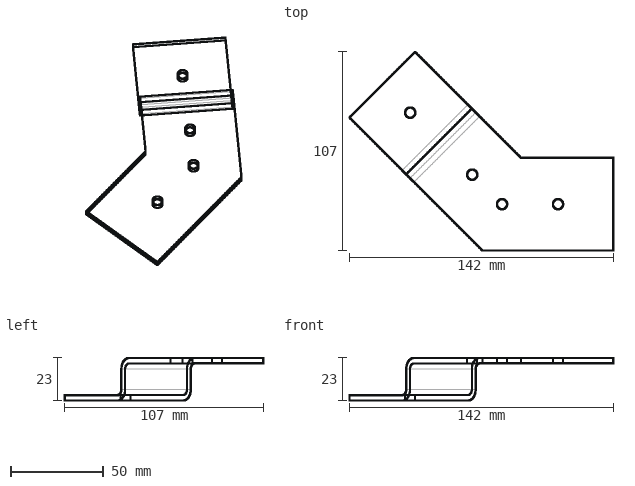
import cadquery as cq
import math

overall_x = 142.0
overall_z = 23.0
width = 50.0
thickness = 3.0
inner_radius = 3.0
straight_length = 70.4
joggle_start = 52.1
hole_diameter = 5.4
arm_angle = 135.0

straight_hole_distances = (10.5, 40.6)
angled_upper_hole_distance = 32.8
angled_lower_hole_distance = 79.9

outer_radius = inner_radius + thickness
angled_length = (overall_x - straight_length) / abs(math.cos(math.radians(arm_angle)))
elbow_setback = width * math.tan(math.radians((180 - arm_angle) / 2))
lower_flat_start = joggle_start + outer_radius + inner_radius
upper_underside = overall_z - thickness
wall_near = joggle_start + inner_radius
wall_far = joggle_start + outer_radius
diagonal = math.sqrt(0.5)


def arc_point(center_s, center_z, radius, side, up):
    """Middle of a quarter arc on the given side of its center."""
    return (center_s + side * radius * diagonal, center_z + up * radius * diagonal)


def make_straight_arm():
    """Flat arm along X, mitred at the elbow."""
    outline = [(0, 0), (straight_length, 0), (straight_length, width), (elbow_setback, width)]
    return cq.Workplane("XY").workplane(offset=upper_underside).polyline(outline).close().extrude(thickness)


def make_angled_arm():
    """Joggled strip along +X from the elbow, swung round to the arm angle."""
    upper_center = (joggle_start, overall_z - outer_radius)
    lower_center = (lower_flat_start, outer_radius)
    strip = (
        cq.Workplane("XZ")
        .moveTo(0, overall_z)
        .lineTo(joggle_start, overall_z)
        .threePointArc(arc_point(*upper_center, outer_radius, 1, 1), (wall_far, upper_center[1]))
        .lineTo(wall_far, lower_center[1])
        .threePointArc(arc_point(*lower_center, inner_radius, -1, -1), (lower_flat_start, thickness))
        .lineTo(angled_length, thickness)
        .lineTo(angled_length, 0)
        .lineTo(lower_flat_start, 0)
        .threePointArc(arc_point(*lower_center, outer_radius, -1, -1), (wall_near, lower_center[1]))
        .lineTo(wall_near, upper_center[1])
        .threePointArc(arc_point(*upper_center, inner_radius, 1, 1), (joggle_start, upper_underside))
        .lineTo(0, upper_underside)
        .close()
        .extrude(width)
    )
    mitre = cq.Workplane("XY").polyline([(0, 0), (elbow_setback, -width), (0, -width)]).close().extrude(overall_z)
    return strip.cut(mitre).rotate((0, 0, 0), (0, 0, 1), arm_angle)


def hole_centers():
    """Hole positions on the center lines of the two arms."""
    centers = [(distance, width / 2) for distance in straight_hole_distances]
    angle = math.radians(arm_angle)
    for distance in (angled_upper_hole_distance, angled_lower_hole_distance):
        x = distance * math.cos(angle) + width / 2 * math.sin(angle)
        y = distance * math.sin(angle) - width / 2 * math.cos(angle)
        centers.append((x, y))
    return centers


holes = cq.Workplane("XY").pushPoints(hole_centers()).circle(hole_diameter / 2).extrude(overall_z)
result = make_straight_arm().union(make_angled_arm()).clean().cut(holes)